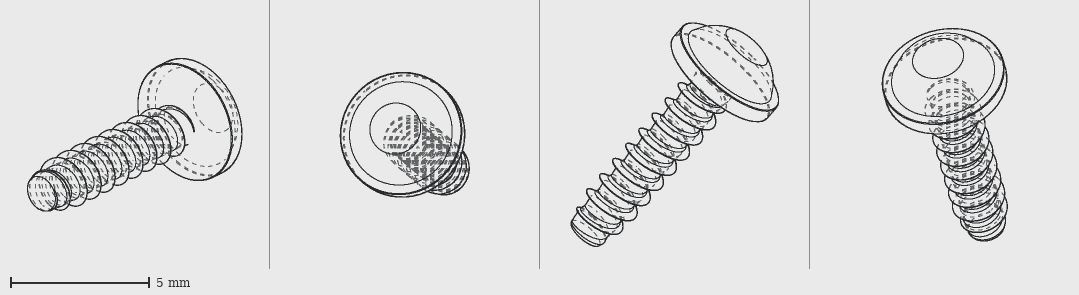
import cadquery as cq
import math


FLANGE_RADIUS = 2.25
FLANGE_THICKNESS = 0.6
FLANGE_EDGE = 0.03
DOME_BASE_RADIUS = 1.9
DOME_TOP_RADIUS = 0.94
DOME_MID_RADIUS = 1.6
DOME_HEIGHT = 1.0

SHANK_LENGTH = 8.0
NECK_RADIUS = 0.775
NECK_FILLET = 0.34
NECK_LENGTH = 0.48
NECK_TAPER_LENGTH = 0.45
NECK_CONE_END_RADIUS = 0.67
CORE_RADIUS = 0.68
TIP_RADIUS = 0.665
TIP_TRIM_ANGLE = 20.0
TIP_DISH_RADIUS = 0.635
TIP_DISH_DEPTH = 0.07

PITCH = 0.78
THREAD_START_Y = -0.385
THREAD_TURNS = 11
POINTS_PER_TURN = 24
CREST_RADIUS = 1.0
CREST_HALF_WIDTH = 0.012
SHOULDER_RADIUS = 0.735
HEAD_SIDE_SHOULDER = -0.15
TIP_SIDE_SHOULDER = 0.09
ROOT_OFFSET = -0.28
RUN_IN_TURNS = 1.0
RUN_IN_RADIUS = 0.79
RUN_OUT_START_TURN = 8.25
RUN_OUT_END_TURN = 9.5
RUN_OUT_RADIUS = SHOULDER_RADIUS + 0.01


def make_head_and_neck():
    """Dome, flange and neck as one revolved profile, ending in the cone that meets the core."""
    neck_end_y = -NECK_LENGTH
    cone_end_y = neck_end_y - NECK_TAPER_LENGTH
    head_top_y = FLANGE_THICKNESS + DOME_HEIGHT
    dome_mid_y = FLANGE_THICKNESS + DOME_HEIGHT / 2
    fillet_mid = NECK_FILLET * (1 - math.sqrt(0.5))
    return (
        cq.Workplane("XY")
        .moveTo(0, cone_end_y)
        .lineTo(NECK_CONE_END_RADIUS, cone_end_y)
        .lineTo(NECK_RADIUS, neck_end_y)
        .lineTo(NECK_RADIUS, -NECK_FILLET)
        .threePointArc((NECK_RADIUS + fillet_mid, -fillet_mid), (NECK_RADIUS + NECK_FILLET, 0))
        .lineTo(FLANGE_RADIUS - FLANGE_EDGE, 0)
        .lineTo(FLANGE_RADIUS, FLANGE_EDGE)
        .lineTo(FLANGE_RADIUS, FLANGE_THICKNESS - FLANGE_EDGE)
        .lineTo(FLANGE_RADIUS - FLANGE_EDGE, FLANGE_THICKNESS)
        .lineTo(DOME_BASE_RADIUS, FLANGE_THICKNESS)
        .threePointArc((DOME_MID_RADIUS, dome_mid_y), (DOME_TOP_RADIUS, head_top_y))
        .lineTo(0, head_top_y)
        .close()
        .revolve(360, (0, 0, 0), (0, 1, 0))
    )


def crest_radius(turn):
    """Crest radius at a given turn: it grows in at the neck and fades out at the tip."""
    if turn < RUN_IN_TURNS:
        return RUN_IN_RADIUS + (CREST_RADIUS - RUN_IN_RADIUS) * turn / RUN_IN_TURNS
    if turn > RUN_OUT_START_TURN:
        faded = (turn - RUN_OUT_START_TURN) / (RUN_OUT_END_TURN - RUN_OUT_START_TURN)
        return CREST_RADIUS - (CREST_RADIUS - RUN_OUT_RADIUS) * min(faded, 1)
    return CREST_RADIUS


def thread_section(turn):
    """One pitch of the thread outline as (axial offset toward the tip, radius) corners.

    A lower crest keeps its flank slopes, so its shoulders move closer together.
    """
    crest = crest_radius(turn)
    height_share = (crest - SHOULDER_RADIUS) / (CREST_RADIUS - SHOULDER_RADIUS)
    head_flank = (HEAD_SIDE_SHOULDER + CREST_HALF_WIDTH) * height_share
    tip_flank = (TIP_SIDE_SHOULDER - CREST_HALF_WIDTH) * height_share
    return [
        (ROOT_OFFSET, CORE_RADIUS),
        (head_flank - CREST_HALF_WIDTH, SHOULDER_RADIUS),
        (-CREST_HALF_WIDTH, crest),
        (CREST_HALF_WIDTH, crest),
        (tip_flank + CREST_HALF_WIDTH, SHOULDER_RADIUS),
        (ROOT_OFFSET + PITCH, CORE_RADIUS),
    ]


def helix_point(turn, offset, radius):
    angle = 2 * math.pi * turn
    y = THREAD_START_Y - PITCH * turn - offset
    return cq.Vector(radius * math.cos(angle), y, radius * math.sin(angle))


def section_points(turn):
    return [helix_point(turn, offset, radius) for offset, radius in thread_section(turn)]


def corner_helices(start_turn):
    """One turn of the helix traced by each corner of the thread section."""
    turns = [start_turn + i / POINTS_PER_TURN for i in range(POINTS_PER_TURN + 1)]
    traces = zip(*[section_points(turn) for turn in turns])
    return [cq.Edge.makeSpline(list(trace)) for trace in traces]


def section_cap(turn):
    """Flat half-section from the axis out to the thread outline."""
    corners = section_points(turn)
    first_on_axis = cq.Vector(0, corners[0].y, 0)
    last_on_axis = cq.Vector(0, corners[-1].y, 0)
    outline = [first_on_axis] + corners + [last_on_axis]
    return cq.Face.makeFromWires(cq.Wire.makePolygon(outline, close=True))


def helicoid_end(root_helix):
    """Spiral ramp from the axis out to one turn of the root helix."""
    start_on_axis = cq.Vector(0, root_helix.startPoint().y, 0)
    end_on_axis = cq.Vector(0, root_helix.endPoint().y, 0)
    return cq.Face.makeRuledSurface(cq.Edge.makeLine(start_on_axis, end_on_axis), root_helix)


def make_threaded_core():
    """Core and thread as one solid whose neighbouring turns share their root helix."""
    turns = [corner_helices(turn) for turn in range(THREAD_TURNS)]
    faces = [section_cap(0), helicoid_end(turns[0][0])]
    for helices in turns:
        for inner, outer in zip(helices, helices[1:]):
            faces.append(cq.Face.makeRuledSurface(inner, outer))
    faces += [helicoid_end(turns[-1][-1]), section_cap(THREAD_TURNS)]
    return cq.Workplane(cq.Solid.makeSolid(cq.Shell.makeShell(faces)).fix())


def make_tip_cut():
    """Space around and past the tip: a cone that trims its rim and one that dishes its face."""
    trim_length = (FLANGE_RADIUS - TIP_RADIUS) / math.tan(math.radians(TIP_TRIM_ANGLE))
    surplus_end_y = THREAD_START_Y - PITCH * (THREAD_TURNS + 1)
    return (
        cq.Workplane("XY")
        .moveTo(0, TIP_DISH_DEPTH - SHANK_LENGTH)
        .lineTo(TIP_DISH_RADIUS, -SHANK_LENGTH)
        .lineTo(TIP_RADIUS, -SHANK_LENGTH)
        .lineTo(FLANGE_RADIUS, trim_length - SHANK_LENGTH)
        .lineTo(FLANGE_RADIUS, surplus_end_y)
        .lineTo(0, surplus_end_y)
        .close()
        .revolve(360, (0, 0, 0), (0, 1, 0))
    )


result = make_threaded_core().cut(make_tip_cut()).union(make_head_and_neck())